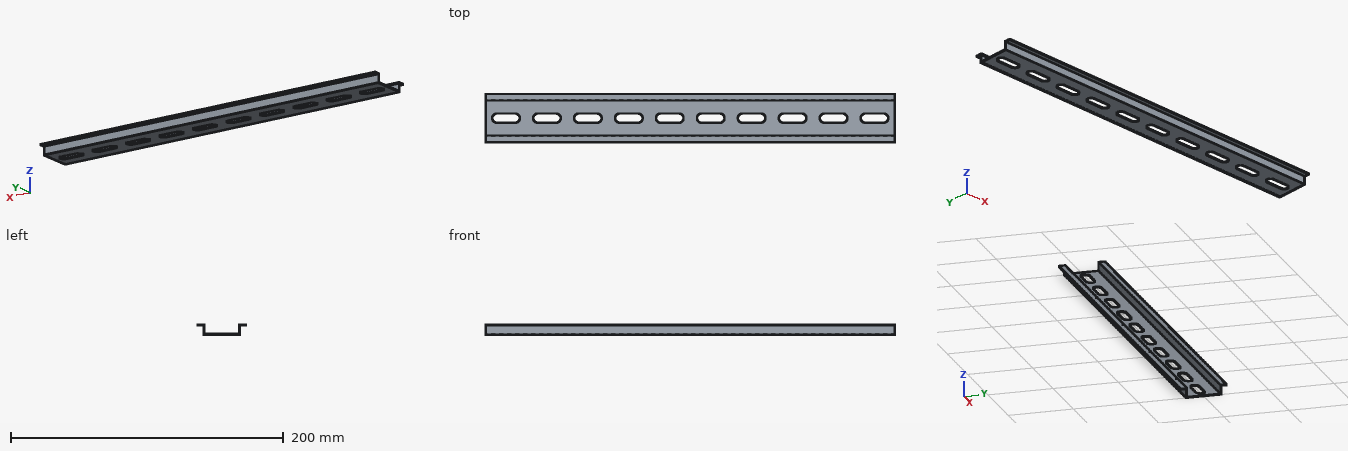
import cadquery as cq

length = 300.0
width = 35.5
height = 7.5
thickness = 0.75

channel_width = 27.0

slot_count = 10
slot_pitch = length / slot_count
slot_length = 20.0
slot_width = 6.5


def hat_rail():
    """Hat profile: channel with a floor, two walls and two outward flanges."""
    envelope = cq.Workplane("XY").box(length, width, height, centered=(True, True, False))
    inner_width = channel_width - 2 * thickness
    channel = (
        cq.Workplane("XY")
        .workplane(offset=thickness)
        .rect(length, inner_width)
        .extrude(height - thickness)
    )
    flange_overhang = (width - channel_width) / 2
    flange_center = (channel_width + flange_overhang) / 2
    under_flanges = (
        cq.Workplane("XY")
        .pushPoints([(0, -flange_center), (0, flange_center)])
        .rect(length, flange_overhang)
        .extrude(height - thickness)
    )
    return envelope.cut(channel).cut(under_flanges)


def floor_slots():
    """Evenly spaced slots through the floor, half a pitch in from each end."""
    return (
        cq.Workplane("XY")
        .rarray(slot_pitch, 3, slot_count, 1)
        .slot2D(slot_length, slot_width)
        .extrude(thickness)
    )


result = hat_rail().cut(floor_slots())